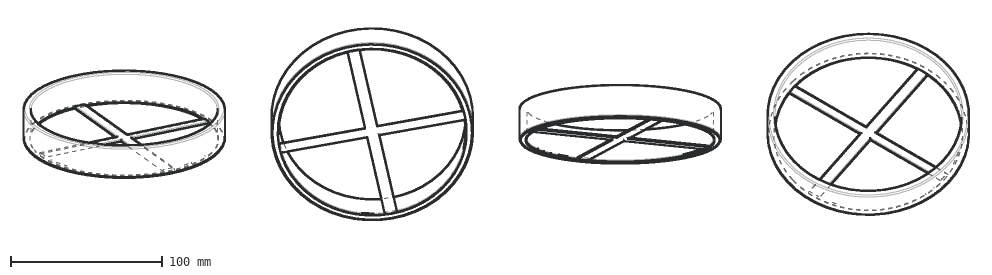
import cadquery as cq

outer_diameter = 133.5
inner_diameter = 123.5
total_height = 22.0
top_rim_round = 1.0
bottom_rim_round = 0.8
foot_height = 0.7

x_bar_width = 8.3
y_bar_width = 6.8
bar_thickness = 1.2
bar_round = 0.8


def annulus(outer, inner, bottom, height):
    """Flat ring between two diameters, starting at the given height."""
    return cq.Workplane("XY").workplane(offset=bottom).circle(outer / 2).circle(inner / 2).extrude(height)


def make_ring():
    """Main ring with all four rims rounded."""
    ring = annulus(outer_diameter, inner_diameter, foot_height, total_height - foot_height)
    ring = ring.faces(">Z").edges().fillet(top_rim_round)
    return ring.faces("<Z").edges().fillet(bottom_rim_round)


def make_foot():
    """Low foot as wide as the flat left between the rounded bottom rims."""
    foot_outer = outer_diameter - 2 * bottom_rim_round
    foot_inner = inner_diameter + 2 * bottom_rim_round
    return annulus(foot_outer, foot_inner, 0, foot_height + bottom_rim_round)


def make_cross():
    """Two crossing bars with rounded upper edges, ending inside the ring wall."""
    bar_length = (outer_diameter + inner_diameter) / 2
    base = cq.Workplane("XY").workplane(offset=foot_height)
    x_bar = base.rect(bar_length, x_bar_width).extrude(bar_thickness)
    y_bar = base.rect(y_bar_width, bar_length).extrude(bar_thickness)
    return x_bar.union(y_bar).faces(">Z").edges().fillet(bar_round)


result = make_ring().union(make_foot()).union(make_cross())